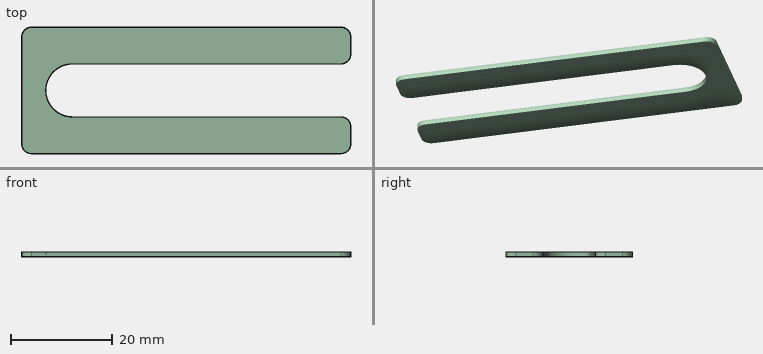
import cadquery as cq

length = 65.0
width = 25.0
thickness = 1.0
corner_radius = 2.0
slot_width = 10.4
web_thickness = 4.8

slot_radius = slot_width / 2
closed_edge_x = -length / 2
open_edge_x = length / 2
slot_end_x = closed_edge_x + web_thickness
slot_arc_center_x = slot_end_x + slot_radius


def fork_outline():
    """U-shaped outline: two parallel legs open toward +X, joined by a web at -X."""
    return (
        cq.Workplane("XY")
        .moveTo(closed_edge_x, -width / 2)
        .lineTo(open_edge_x, -width / 2)
        .lineTo(open_edge_x, -slot_radius)
        .lineTo(slot_arc_center_x, -slot_radius)
        .threePointArc((slot_end_x, 0), (slot_arc_center_x, slot_radius))
        .lineTo(open_edge_x, slot_radius)
        .lineTo(open_edge_x, width / 2)
        .lineTo(closed_edge_x, width / 2)
        .close()
    )


def round_corners(plate):
    """Round the corners of the closed edge and of both leg tips."""
    closed_corners = plate.faces("<X").edges("|Z")
    leg_tip_corners = plate.faces(">X").edges("|Z")
    return closed_corners.add(leg_tip_corners).fillet(corner_radius)


plate = fork_outline().extrude(thickness)
result = round_corners(plate)